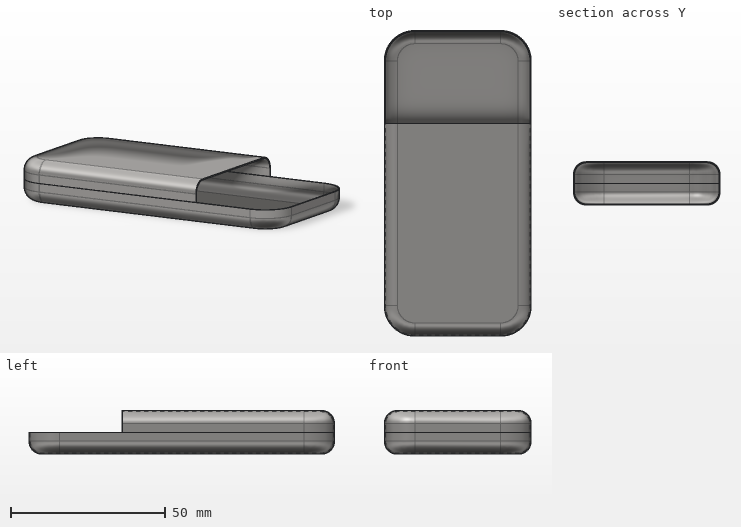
import cadquery as cq

LENGTH = 99.1
WIDTH = 47.7
HEIGHT = 14.2
CORNER_RADIUS = 9.9
EDGE_RADIUS = 4.3
WALL = 0.4

SPLIT_HEIGHT = HEIGHT / 2

TRAY_OPENING = 30.2
COVER_LENGTH = LENGTH - TRAY_OPENING


def rounded_block(inset):
    """Case outline moved inward by inset on every side, with rounded top and bottom edges."""
    return (
        cq.Workplane("XY")
        .workplane(offset=inset)
        .rect(WIDTH - 2 * inset, LENGTH - 2 * inset)
        .extrude(HEIGHT - 2 * inset)
        .edges("|Z")
        .fillet(CORNER_RADIUS - inset)
        .faces("<Z or >Z")
        .edges()
        .fillet(EDGE_RADIUS - inset)
    )


def case_shell():
    """Closed hollow case of uniform wall thickness."""
    return rounded_block(0).cut(rounded_block(WALL))


def make_tray():
    """Lower half of the case, open at the top."""
    lower_half = cq.Workplane("XY").box(WIDTH, LENGTH, SPLIT_HEIGHT, centered=(True, True, False))
    return case_shell().intersect(lower_half)


def make_cover():
    """Upper half of the case, cut off square and left open at its +Y end."""
    cover_space = (
        cq.Workplane("XY")
        .workplane(offset=SPLIT_HEIGHT)
        .center(0, -TRAY_OPENING / 2)
        .box(WIDTH, COVER_LENGTH, HEIGHT - SPLIT_HEIGHT, centered=(True, True, False))
    )
    return case_shell().intersect(cover_space)


tray = make_tray()
cover = make_cover()

result = cq.Compound.makeCompound([tray.val(), cover.val()])